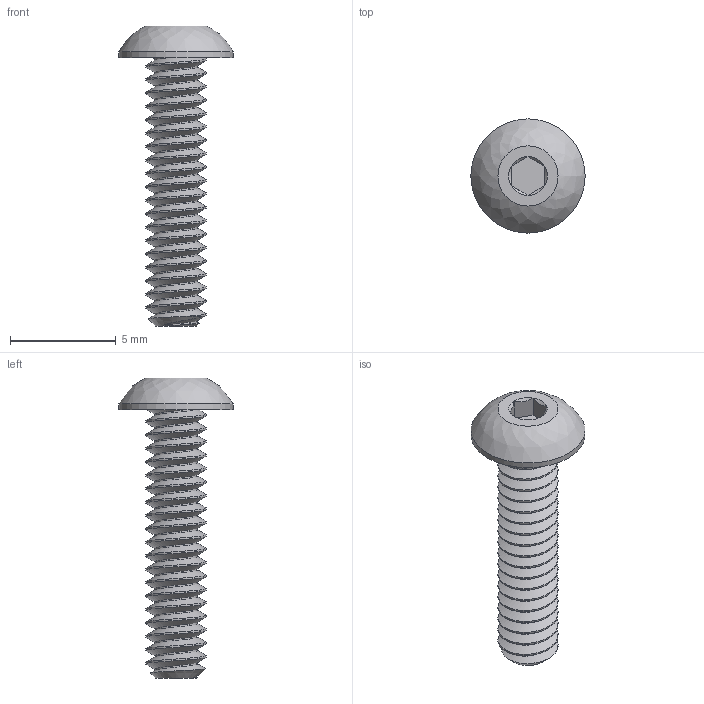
import cadquery as cq
import math

INCH = 25.4

head_diameter = 5.41
head_height = 1.5
rim_height = 0.27
head_radius = head_diameter / 2
dome_bulge = 0.16

hex_across_flats = INCH / 16
hex_turn = 30
hex_across_corners = hex_across_flats / math.cos(math.radians(hex_turn))
socket_depth = 1.0
socket_entry_angle = 45

pitch = INCH / 40
major_diameter = 0.112 * INCH
shank_length = INCH / 2
major_radius = major_diameter / 2
thread_half_angle = 30
sharp_v_height = pitch / (2 * math.tan(math.radians(thread_half_angle)))
truncation = 1 / 8
thread_depth = sharp_v_height * (1 - 2 * truncation)
root_radius = major_radius - thread_depth
thread_flat = pitch * truncation
crest_offset = 0.0925
spare_turns = 3

tip_diameter = 1.93
tip_radius = tip_diameter / 2


def revolve_about_z(half_section):
    """Solid of revolution about Z from a closed half section in the XZ plane."""
    return half_section.revolve(360, (0, 0, 0), (0, 1, 0))


def make_head():
    """Dome head above a short cylindrical rim, with a flat top as wide as the thread."""
    dome_rise = head_height - rim_height
    dome_run = head_radius - major_radius
    chord = math.hypot(dome_run, dome_rise)
    dome_middle = (
        (head_radius + major_radius) / 2 + dome_bulge * dome_rise / chord,
        (rim_height + head_height) / 2 + dome_bulge * dome_run / chord,
    )
    half_section = (
        cq.Workplane("XZ")
        .lineTo(head_radius, 0)
        .lineTo(head_radius, rim_height)
        .threePointArc(dome_middle, (major_radius, head_height))
        .lineTo(0, head_height)
        .close()
    )
    return revolve_about_z(half_section)


def make_socket():
    """Blind hexagon with a conical entry as wide as the hexagon corners."""
    hexagon = (
        cq.Workplane("XY")
        .workplane(offset=head_height)
        .polygon(6, hex_across_corners)
        .extrude(-socket_depth)
        .rotate((0, 0, 0), (0, 0, 1), hex_turn)
    )
    entry_radius = hex_across_corners / 2
    entry_cone_depth = entry_radius / math.tan(math.radians(socket_entry_angle))
    half_entry = (
        cq.Workplane("XZ", origin=(0, 0, head_height))
        .lineTo(entry_radius, 0)
        .lineTo(0, -entry_cone_depth)
        .close()
    )
    return hexagon.union(revolve_about_z(half_entry))


def make_helix(radius, height):
    """One right-handed turn about Z, starting on the +X side at the given height."""
    turn = cq.Wire.makeHelix(pitch, pitch, radius).Edges()[0]
    return turn.translate(cq.Vector(0, 0, height))


def make_end_ramp(height):
    """Helicoid that closes one end of the threaded rod, between the axis and the root."""
    axis = cq.Edge.makeLine(cq.Vector(0, 0, height), cq.Vector(0, 0, height + pitch))
    return cq.Face.makeRuledSurface(axis, make_helix(root_radius, height))


def make_end_step(profile, height):
    """Flat face on the +X side that joins the start of an end ramp to its finish."""
    outline = [(0, 0)] + profile + [(0, pitch)]
    points = [cq.Vector(radius, 0, height + rise) for radius, rise in outline]
    return cq.Face.makeFromWires(cq.Wire.makePolygon(points, close=True))


def make_threaded_rod():
    """Right-handed 60 degree thread, one turn at a time, that overruns both ends of the shank."""
    profile = [
        (root_radius, 0),
        (root_radius, thread_flat),
        (major_radius, pitch / 2),
        (major_radius, pitch / 2 + thread_flat),
        (root_radius, pitch),
    ]
    crest_rise = (pitch + thread_flat) / 2
    turns = math.ceil(shank_length / pitch) + spare_turns
    top = 2 * pitch - crest_offset - crest_rise
    bottom = top - turns * pitch

    faces = [
        make_end_ramp(bottom),
        make_end_step(profile, bottom),
        make_end_ramp(top),
        make_end_step(profile, top),
    ]
    for turn in range(turns):
        height = bottom + turn * pitch
        for (radius, rise), (next_radius, next_rise) in zip(profile, profile[1:]):
            lower = make_helix(radius, height + rise)
            upper = make_helix(next_radius, height + next_rise)
            faces.append(cq.Face.makeRuledSurface(lower, upper))
    rod = cq.Solid.makeSolid(cq.Shell.makeShell(faces))
    return cq.Workplane(rod)


def make_shank_envelope():
    """Space between the head underside and the end of the shank, with a 45 degree tip chamfer."""
    chamfer = head_radius - tip_radius
    half_section = (
        cq.Workplane("XZ")
        .lineTo(head_radius, 0)
        .lineTo(head_radius, chamfer - shank_length)
        .lineTo(tip_radius, -shank_length)
        .lineTo(0, -shank_length)
        .close()
    )
    return revolve_about_z(half_section)


head = make_head().cut(make_socket())
shank = make_threaded_rod().intersect(make_shank_envelope())
result = head.union(shank)